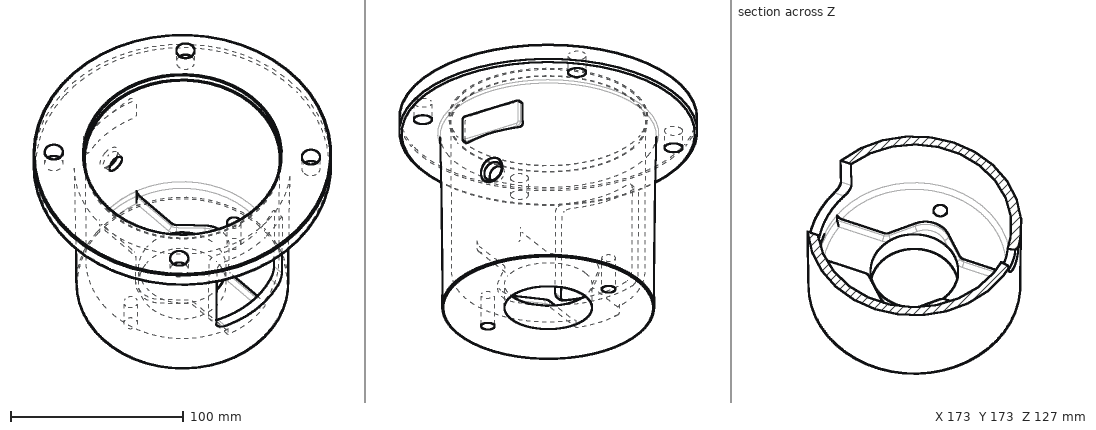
import cadquery as cq
import math

flange_diameter = 173.0
height = 127.0

flange_thickness = 11.2
flange_top_chamfer = 0.7
flange_bottom_chamfer = 1.4
flange_underside_fillet = 1.4
flange_hole_diameter = 10.5
flange_bolt_circle = 149.3
flange_hole_count = 4

tube_top_radius = 62.8
tube_bottom_radius = 61.5
tube_bottom_chamfer = 0.7

pilot_radius = 57.3
pilot_depth = 4.7
pilot_chamfer = 0.5
bore_top_radius = 56.5
bore_bottom_radius = 56.0
floor_z = 20.8
floor_fillet = 2.8

relief_depth = 5.2
channel_half_width = 14.9
diamond_half_diagonal = 38.0
diamond_tip_radius = 14.5
relief_neck_radius = 4.2
relief_fillet = 2.5

pump_bore_diameter = 50.9
pump_hole_diameter = 8.0
pump_hole_spacing = 82.7

window_width = 52.5
window_bottom_z = 36.0
window_top_z = 100.3
window_corner_radius = 5.2

port_z = 62.1
port_inner_radius = 4.7
port_outer_radius = 5.9
port_rim_radius = 7.8
port_rim_depth = 1.7
port_overrun = 1.7

plate_width = 39.5
plate_height = 16.6
plate_z = 94.8
plate_face_x = -63.0
plate_corner_radius = 2.0
plate_edge_fillet = 1.0

flange_radius = flange_diameter / 2
flange_z = height - flange_thickness
relief_z = floor_z - relief_depth


def revolve_profile(points):
    """Revolve (radius, z) points about the Z axis."""
    return cq.Workplane("XZ").polyline(points).close().revolve(360, (0, 0, 0), (0, 1, 0))


def make_body():
    fillet = flange_underside_fillet
    profile = (
        cq.Workplane("XZ")
        .lineTo(tube_bottom_radius - tube_bottom_chamfer, 0)
        .lineTo(tube_bottom_radius, tube_bottom_chamfer)
        .lineTo(tube_top_radius, flange_z - fillet)
        .radiusArc((tube_top_radius + fillet, flange_z), fillet)
        .lineTo(flange_radius - flange_bottom_chamfer, flange_z)
        .lineTo(flange_radius, flange_z + flange_bottom_chamfer)
        .lineTo(flange_radius, height - flange_top_chamfer)
        .lineTo(flange_radius - flange_top_chamfer, height)
        .lineTo(0, height)
        .close()
    )
    return profile.revolve(360, (0, 0, 0), (0, 1, 0))


def make_name_plate():
    inner_x = -bore_top_radius
    plate = (
        cq.Workplane("YZ", origin=(inner_x, 0, plate_z))
        .rect(plate_width, plate_height)
        .extrude(plate_face_x - inner_x)
    )
    plate = plate.edges("|X").fillet(plate_corner_radius)
    return plate.faces("<X").edges().fillet(plate_edge_fillet)


def make_bore():
    step_z = height - pilot_depth
    bore = revolve_profile([
        (0, floor_z),
        (bore_bottom_radius, floor_z),
        (bore_top_radius, step_z),
        (pilot_radius, step_z),
        (pilot_radius, height - pilot_chamfer),
        (pilot_radius + pilot_chamfer, height),
        (0, height),
    ])
    return bore.faces("<Z").edges().fillet(floor_fillet)


def make_relief():
    cut_height = relief_depth + floor_fillet
    plane = cq.Workplane("XY", origin=(0, 0, relief_z))
    diamond_side = diamond_half_diagonal * math.sqrt(2)
    diamond = plane.rect(diamond_side, diamond_side).extrude(cut_height)
    diamond = diamond.rotate((0, 0, 0), (0, 0, 1), 45)
    diamond = diamond.edges("|Z and (>Y or <Y)").fillet(diamond_tip_radius)
    channel = plane.rect(2 * flange_radius, 2 * channel_half_width).extrude(cut_height)
    relief = diamond.union(channel)

    neck_x = diamond_half_diagonal - channel_half_width
    reach = cq.Vector(1.7, 1.7, 1.7)
    for side_x in (-1, 1):
        for side_y in (-1, 1):
            corner = cq.Vector(side_x * neck_x, side_y * channel_half_width, relief_z + cut_height / 2)
            selector = cq.selectors.BoxSelector(corner - reach, corner + reach)
            relief = relief.edges(selector).fillet(relief_neck_radius)
    relief = relief.faces("<Z").edges("not(<X or >X)").fillet(relief_fillet)

    bore_limit = plane.circle(bore_bottom_radius).extrude(cut_height)
    bore_limit = bore_limit.faces("<Z").edges().fillet(floor_fillet)
    return relief.intersect(bore_limit)


def make_floor_holes():
    plane = cq.Workplane("XY")
    pump_bore = plane.circle(pump_bore_diameter / 2).extrude(height)
    half_spacing = pump_hole_spacing / 2
    pump_holes = (
        plane.pushPoints([(0, half_spacing), (0, -half_spacing)])
        .circle(pump_hole_diameter / 2)
        .extrude(height)
    )
    return pump_bore.union(pump_holes)


def make_flange_holes():
    start_angle = 180 / flange_hole_count
    return (
        cq.Workplane("XY", origin=(0, 0, flange_z))
        .polarArray(flange_bolt_circle / 2, start_angle, 360, flange_hole_count)
        .circle(flange_hole_diameter / 2)
        .extrude(flange_thickness)
    )


def make_window():
    window = (
        cq.Workplane("YZ", origin=(0, 0, (window_bottom_z + window_top_z) / 2))
        .rect(window_width, window_top_z - window_bottom_z)
        .extrude(flange_radius)
    )
    return window.edges("|X").fillet(window_corner_radius)


def make_port():
    wall_fraction = (port_z - tube_bottom_chamfer) / (flange_z - tube_bottom_chamfer)
    outer_x = tube_bottom_radius + wall_fraction * (tube_top_radius - tube_bottom_radius)
    inner_x = bore_bottom_radius - port_overrun
    port = revolve_profile([
        (0, inner_x),
        (port_inner_radius, inner_x),
        (port_outer_radius, outer_x - port_rim_depth),
        (port_rim_radius, outer_x),
        (port_rim_radius, outer_x + port_rim_depth),
        (0, outer_x + port_rim_depth),
    ])
    return port.rotate((0, 0, 0), (0, 1, 0), -90).translate((0, 0, port_z))


result = make_body().union(make_name_plate())
for cutter in (
    make_bore(),
    make_relief(),
    make_floor_holes(),
    make_flange_holes(),
    make_window(),
    make_port(),
):
    result = result.cut(cutter)